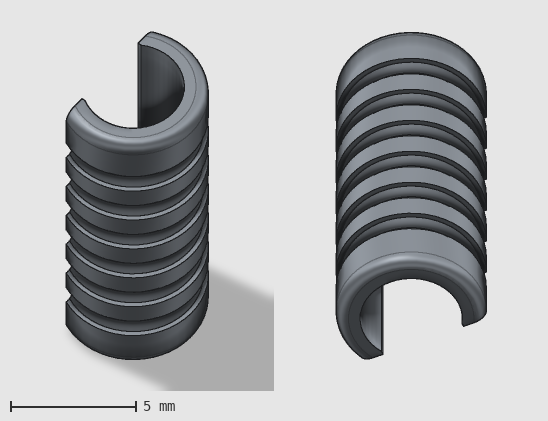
import cadquery as cq

height = 15.0
outer_radius = 3.0
bore_radius = 2.04
end_fillet = 0.5

open_face_x = -1.2
mouth_width = 3.51

groove_count = 6
groove_pitch = height / (groove_count + 1.5)
groove_width = groove_pitch / 2
groove_depth = 0.5
groove_step = 0.2


def make_sleeve():
    """Round tube with rounded outer rims."""
    body = cq.Workplane("XY").circle(outer_radius).extrude(height)
    body = body.faces("<Z or >Z").edges().fillet(end_fillet)
    bore = cq.Workplane("XY").circle(bore_radius).extrude(height)
    return body.cut(bore)


def make_groove(bottom_z):
    """Ring cutter with square shoulders, 45 degree walls and a flat floor."""
    top_z = bottom_z + groove_width
    shoulder_radius = outer_radius - groove_step
    floor_radius = outer_radius - groove_depth
    slope = shoulder_radius - floor_radius
    clear_radius = outer_radius + groove_step
    profile = [
        (clear_radius, bottom_z),
        (shoulder_radius, bottom_z),
        (floor_radius, bottom_z + slope),
        (floor_radius, top_z - slope),
        (shoulder_radius, top_z),
        (clear_radius, top_z),
    ]
    return cq.Workplane("XZ").polyline(profile).close().revolve(360, (0, 0), (0, 1))


def make_opening():
    """Flat cut across the -X side plus the parallel-sided mouth into the bore."""
    cut_length = 2 * outer_radius
    side_cut = (
        cq.Workplane("XY")
        .box(cut_length, cut_length, height, centered=(True, True, False))
        .translate((open_face_x - cut_length / 2, 0, 0))
    )
    mouth = (
        cq.Workplane("XY")
        .box(outer_radius, mouth_width, height, centered=(True, True, False))
        .translate((-outer_radius / 2, 0, 0))
    )
    return side_cut.union(mouth)


result = make_sleeve()
for index in range(groove_count):
    result = result.cut(make_groove(groove_pitch * (index + 1)))
result = result.cut(make_opening())